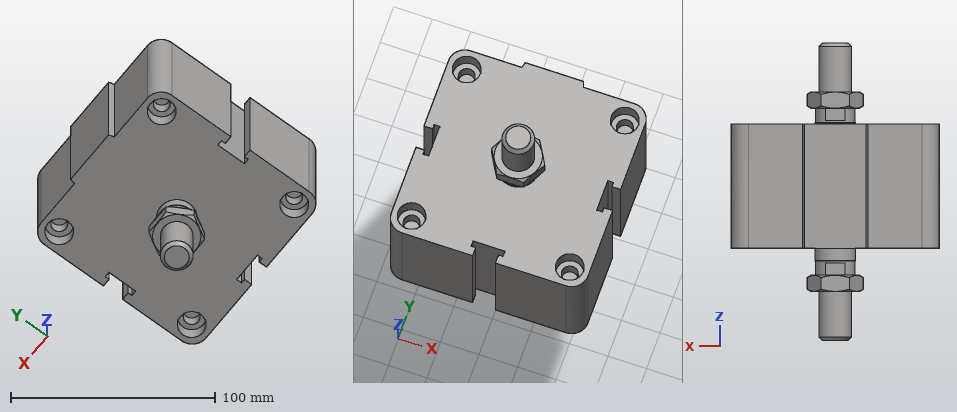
import cadquery as cq
import math


HOUSING_WIDTH = 102.0
HOUSING_HEIGHT = 61.0
CORNER_RADIUS = 8.5

RIDGE_HEIGHT = 2.9
RIDGE_ROOT_WIDTH = 32.0
RIDGE_TOP_WIDTH = 30.4

SLOT_MOUTH_WIDTH = 11.8
SLOT_INNER_WIDTH = 16.5
SLOT_LIP_DEPTH = 4.5
SLOT_DEPTH = 7.5
SLOT_ROTATIONS = (-90, 0, 90)

HOLE_SPACING = 82.0
HOLE_DIAMETER = 8.3
HOLE_DEPTH = 16.5
COUNTERBORE_DIAMETER = 14.0
COUNTERBORE_DEPTH = 9.0

ROD_LENGTH = 146.0
ROD_DIAMETER = 20.0
ROD_LOWER_EXTENSION = 45.3
NECK_DIAMETER = 19.5
NECK_CHAMFER = (ROD_DIAMETER - NECK_DIAMETER) / 2
THREAD_DIAMETER = 16.0
TIP_CHAMFER = 1.9

SHOULDER_DISTANCE = 32.1
FLAT_END_DISTANCE = 38.1
NECK_END_DISTANCE = 39.0
FLATS_WIDTH = 17.0

NUT_SIDES = 6
NUT_WIDTH = 24.0
NUT_HEIGHT = 8.0
NUT_CHAMFER_ANGLE = 30.0
NUT_FACE_DIAMETER = 23.7

ROD_BOTTOM = -ROD_LOWER_EXTENSION
ROD_MIDDLE = ROD_BOTTOM + ROD_LENGTH / 2


def make_slot_cutter(rotation):
    """T-slot on the -Y side over the full height, turned about Z to its own side."""
    side = -HOUSING_WIDTH / 2
    mouth = cq.Workplane("XY").rect(SLOT_MOUTH_WIDTH, 2 * SLOT_DEPTH).extrude(HOUSING_HEIGHT)
    undercut_depth = SLOT_DEPTH - SLOT_LIP_DEPTH
    undercut = (
        cq.Workplane("XY")
        .center(0, SLOT_LIP_DEPTH + undercut_depth / 2)
        .rect(SLOT_INNER_WIDTH, undercut_depth)
        .extrude(HOUSING_HEIGHT)
    )
    return mouth.union(undercut).translate((0, side, 0)).rotate((0, 0, 0), (0, 0, 1), rotation)


def make_ridge():
    """Trapezoidal ridge on the +Y side."""
    side = HOUSING_WIDTH / 2
    return (
        cq.Workplane("XY")
        .moveTo(-RIDGE_ROOT_WIDTH / 2, side)
        .lineTo(RIDGE_ROOT_WIDTH / 2, side)
        .lineTo(RIDGE_TOP_WIDTH / 2, side + RIDGE_HEIGHT)
        .lineTo(-RIDGE_TOP_WIDTH / 2, side + RIDGE_HEIGHT)
        .close()
        .extrude(HOUSING_HEIGHT)
    )


def cut_mounting_holes(body, face):
    """Four blind counterbored holes in one end face."""
    return (
        body.faces(face)
        .workplane(origin=(0, 0, 0))
        .rect(HOLE_SPACING, HOLE_SPACING, forConstruction=True)
        .vertices()
        .cboreHole(HOLE_DIAMETER, COUNTERBORE_DIAMETER, COUNTERBORE_DEPTH, HOLE_DEPTH)
    )


def make_housing():
    body = (
        cq.Workplane("XY")
        .rect(HOUSING_WIDTH, HOUSING_WIDTH)
        .extrude(HOUSING_HEIGHT)
        .edges("|Z")
        .fillet(CORNER_RADIUS)
        .union(make_ridge())
    )
    for rotation in SLOT_ROTATIONS:
        body = body.cut(make_slot_cutter(rotation))
    for face in (">Z", "<Z"):
        body = cut_mounting_holes(body, face)
    rod_bore = cq.Workplane("XY").circle(ROD_DIAMETER / 2).extrude(HOUSING_HEIGHT)
    return body.cut(rod_bore)


def mirror_about_rod_middle(shape):
    return shape.mirror("XY", (0, 0, ROD_MIDDLE))


def make_lower_half_rod():
    """Revolved lower half of the rod, with two wrench flats on its neck."""
    tip_radius = THREAD_DIAMETER / 2 - TIP_CHAMFER
    shoulder = ROD_BOTTOM + SHOULDER_DISTANCE
    neck_end = ROD_BOTTOM + NECK_END_DISTANCE
    half = (
        cq.Workplane("XZ")
        .moveTo(0, ROD_BOTTOM)
        .lineTo(tip_radius, ROD_BOTTOM)
        .lineTo(THREAD_DIAMETER / 2, ROD_BOTTOM + TIP_CHAMFER)
        .lineTo(THREAD_DIAMETER / 2, shoulder)
        .lineTo(NECK_DIAMETER / 2, shoulder)
        .lineTo(NECK_DIAMETER / 2, neck_end)
        .lineTo(ROD_DIAMETER / 2, neck_end + NECK_CHAMFER)
        .lineTo(ROD_DIAMETER / 2, ROD_MIDDLE)
        .lineTo(0, ROD_MIDDLE)
        .close()
        .revolve(360, (0, 0, 0), (0, 1, 0))
    )
    flat_length = FLAT_END_DISTANCE - SHOULDER_DISTANCE
    for side in (-1, 1):
        flat_cutter = (
            cq.Workplane("XY", origin=(0, side * (FLATS_WIDTH + ROD_DIAMETER) / 2, shoulder))
            .rect(ROD_DIAMETER, ROD_DIAMETER)
            .extrude(flat_length)
        )
        half = half.cut(flat_cutter)
    return half


def make_rod():
    lower_half = make_lower_half_rod()
    return lower_half.union(mirror_about_rod_middle(lower_half))


def make_lower_nut():
    """Hexagon nut with flats facing +Y and -Y and its corners chamfered at both ends."""
    base = ROD_BOTTOM + SHOULDER_DISTANCE - NUT_HEIGHT
    corner_diameter = NUT_WIDTH / math.cos(math.pi / NUT_SIDES)
    hexagon = cq.Workplane("XY", origin=(0, 0, base)).polygon(NUT_SIDES, corner_diameter).extrude(NUT_HEIGHT)
    chamfer_width = (corner_diameter - NUT_FACE_DIAMETER) / 2
    chamfer_height = chamfer_width * math.tan(math.radians(NUT_CHAMFER_ANGLE))
    envelope = (
        cq.Workplane("XY", origin=(0, 0, base))
        .circle(corner_diameter / 2)
        .extrude(NUT_HEIGHT)
        .faces("<Z")
        .chamfer(chamfer_height, chamfer_width)
        .faces(">Z")
        .chamfer(chamfer_height, chamfer_width)
    )
    bore = cq.Workplane("XY", origin=(0, 0, base)).circle(THREAD_DIAMETER / 2).extrude(NUT_HEIGHT)
    return hexagon.intersect(envelope).cut(bore)


housing = make_housing()
rod = make_rod()
lower_nut = make_lower_nut()
upper_nut = mirror_about_rod_middle(lower_nut)

result = cq.Compound.makeCompound([housing.val(), rod.val(), lower_nut.val(), upper_nut.val()])